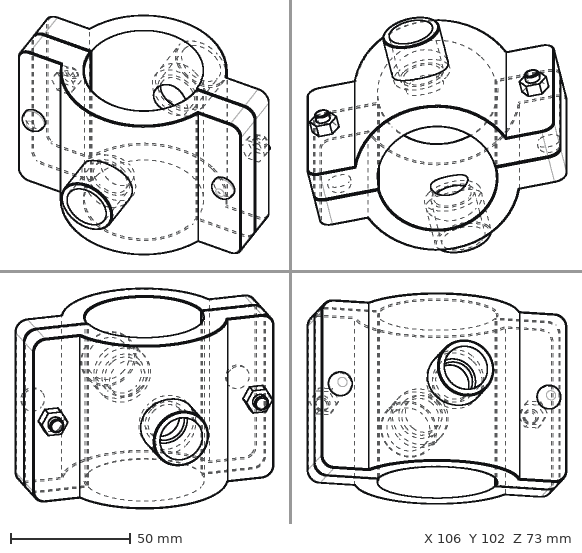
import cadquery as cq
import math

height = 73.0
flange_span = 106.0
half_thickness = 12.7
bore_radius = 25.0
wall = 10.0
outer_radius = bore_radius + wall
corner_radius = 5.3
edge_chamfer = 0.48
FRONT = -1
REAR = 1

port_reach = 51.0
port_outer_radius = 24.2 / 2
port_inner_radius = 18.7 / 2
port_hole_radius = 16.0 / 2
seat_floor = bore_radius + wall / 2

bolt_offset = 45.0
head_radius = 10.0 / 2
head_height = 4.0
head_round = 3.0
nut_flats = 10.0
nut_corners = nut_flats / math.cos(math.pi / 6)
nut_height = 5.0
shank_radius = 6.0 / 2
shank_end = 20.8
shank_chamfer = 0.5


def cylinder_along_y(radius, start, end, x=0.0):
    """Solid cylinder parallel to Y between two y positions."""
    return cq.Workplane("XZ", origin=(x, start, 0)).circle(radius).extrude(start - end)


def cylinder_along_z(radius):
    """Solid cylinder on the Z axis, over the full height of the clamp."""
    return cq.Workplane("XY").circle(radius).extrude(height / 2, both=True)


def is_inner_corner(edge):
    """Upright edge where a flange meets the outside of the barrel."""
    center = edge.Center()
    return (
        edge.geomType() == "LINE"
        and abs(math.hypot(center.x, center.y) - outer_radius) < edge_chamfer
        and abs(center.z) < edge_chamfer
    )


def is_bore_rim(edge):
    """Half circle at an end of the bore."""
    return edge.geomType() == "CIRCLE" and abs(edge.radius() - bore_radius) < edge_chamfer


def make_half(side):
    """One clamp half; its edges are chamfered, but the rear half keeps sharp bore rims."""
    flange = (
        cq.Workplane("XY")
        .box(flange_span, half_thickness, height)
        .edges("|Y")
        .fillet(corner_radius)
        .translate((0, side * half_thickness / 2, 0))
    )
    half_space = (
        cq.Workplane("XY")
        .box(flange_span, flange_span, height)
        .translate((0, side * flange_span / 2, 0))
    )
    barrel = cylinder_along_z(outer_radius).intersect(half_space)
    half = flange.union(barrel).cut(cylinder_along_z(bore_radius))
    edges = half.edges().filter(lambda edge: not is_inner_corner(edge))
    if side == REAR:
        edges = edges.filter(lambda edge: not is_bore_rim(edge))
    return edges.chamfer(edge_chamfer)


def make_bolt_ends(x):
    """Round head on the front flange; nut and protruding bolt end on the rear flange."""
    head = cylinder_along_y(head_radius, -half_thickness, -half_thickness - head_height, x)
    head = head.faces("<Y").edges().fillet(head_round)
    nut = (
        cq.Workplane("XZ", origin=(x, half_thickness, 0))
        .polygon(6, nut_corners)
        .extrude(-nut_height)
    )
    shank = cylinder_along_y(shank_radius, half_thickness, shank_end, x)
    shank = shank.faces(">Y").chamfer(shank_chamfer)
    return head, nut.union(shank)


def make_clamp():
    clamp = make_half(FRONT).union(make_half(REAR))
    for x in (-bolt_offset, bolt_offset):
        for bolt_end in make_bolt_ends(x):
            clamp = clamp.union(bolt_end)
    for side in (FRONT, REAR):
        clamp = clamp.cut(cylinder_along_y(port_outer_radius, side * seat_floor, side * port_reach))
    return clamp.cut(cylinder_along_y(port_hole_radius, -port_reach, port_reach))


def make_port(side):
    """Tube with a chamfered outer rim, from the seat floor to its free end."""
    tube = cylinder_along_y(port_outer_radius, side * seat_floor, side * port_reach)
    tube = tube.faces(">Y" if side == REAR else "<Y").chamfer(edge_chamfer)
    return tube.cut(cylinder_along_y(port_inner_radius, side * seat_floor, side * port_reach))


clamp = make_clamp()
ports = [make_port(side) for side in (FRONT, REAR)]
result = cq.Compound.makeCompound([clamp.solids().val(), *[port.solids().val() for port in ports]])